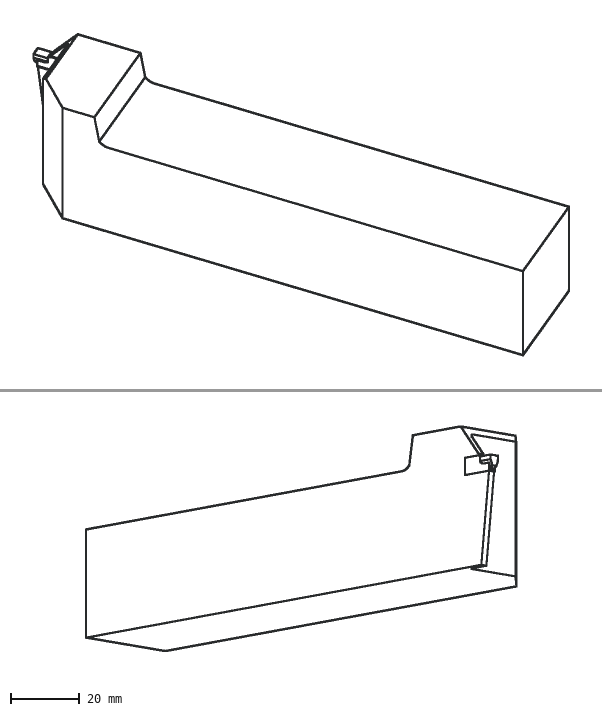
import cadquery as cq
import math

length = 170.0
shank_size = 32.0
head_height = 42.0

nose_face_x = 11.0
corner_chamfer = 11.7
slope_top_x = 13.0
back_top_x = 33.0
back_angle = 10.0
cove_top_x = 34.5
cove_end_x = 37.5
root_fillet = 1.0

blade_thickness = 2.0
blade_top_x = 1.0
blade_bottom_x = 4.2

seat_z = 27.4
clamp_z = 32.5
clamp_front_x = 5.5
clamp_lip = 0.5
insert_thickness = 2.4
edge_width = 3.0
edge_overhang = 0.3
edge_length = 4.5
edge_back_depth = 1.7
edge_front_depth = 3.0
edge_straight_depth = 1.4
edge_keel_width = 0.8

cove_top_z = head_height - (cove_top_x - back_top_x) / math.tan(math.radians(back_angle))
cove_run = cove_end_x - cove_top_x
cove_rise = cove_top_z - shank_size
cove_radius = (cove_run**2 + cove_rise**2) / (2 * cove_rise)
cove_half_angle = math.asin(cove_run / cove_radius) / 2
cove_middle = (
    cove_end_x - cove_radius * math.sin(cove_half_angle),
    shank_size + cove_radius * (1 - math.cos(cove_half_angle)),
)


def extrude_along_y(points, y_start, width):
    """Extrude an XZ outline toward +Y from y_start."""
    return cq.Workplane("XZ", origin=(0, y_start, 0)).polyline(points).close().extrude(-width)


def make_cutting_edge():
    """Wide tip of the insert, with sides that taper in toward the bottom."""
    keel_z = shank_size - edge_front_depth - blade_top_x
    side_profile = extrude_along_y(
        [
            (0, shank_size),
            (0, shank_size - edge_front_depth),
            (blade_top_x, keel_z),
            (edge_length, shank_size - edge_back_depth),
            (edge_length, shank_size),
        ],
        shank_size + edge_overhang - edge_width,
        edge_width,
    )
    straight_end_z = shank_size - edge_straight_depth
    front_profile = (
        cq.Workplane("YZ", origin=(0, shank_size + edge_overhang - edge_width / 2, 0))
        .moveTo(-edge_width / 2, shank_size)
        .lineTo(-edge_width / 2, straight_end_z)
        .lineTo(-edge_keel_width / 2, keel_z)
        .lineTo(edge_keel_width / 2, keel_z)
        .lineTo(edge_width / 2, straight_end_z)
        .lineTo(edge_width / 2, shank_size)
        .close()
        .extrude(edge_length)
    )
    return side_profile.intersect(front_profile)


def make_insert():
    """Flat insert body with the cutting edge at its tip."""
    body = extrude_along_y(
        [
            (blade_top_x, seat_z),
            (nose_face_x, seat_z),
            (nose_face_x, clamp_z),
            (clamp_front_x, clamp_z),
            (edge_length, shank_size),
            (blade_top_x, shank_size),
        ],
        shank_size - insert_thickness,
        insert_thickness,
    )
    return body.union(make_cutting_edge())


def make_holder(insert):
    """Square shank with a raised head and a thin blade, cut out for the insert."""
    side_profile = (
        cq.Workplane("XZ")
        .moveTo(blade_bottom_x, 0)
        .lineTo(length, 0)
        .lineTo(length, shank_size)
        .lineTo(cove_end_x, shank_size)
        .threePointArc(cove_middle, (cove_top_x, cove_top_z))
        .lineTo(back_top_x, head_height)
        .lineTo(slope_top_x, head_height)
        .lineTo(clamp_front_x, clamp_z + clamp_lip)
        .lineTo(clamp_front_x, seat_z)
        .lineTo(blade_top_x, seat_z)
        .close()
        .extrude(-shank_size)
    )

    blade_y = shank_size - blade_thickness
    arc_offset = root_fillet * (1 - math.sqrt(0.5))
    plan = (
        cq.Workplane("XY")
        .moveTo(0, shank_size)
        .lineTo(0, blade_y)
        .lineTo(nose_face_x - root_fillet, blade_y)
        .threePointArc(
            (nose_face_x - arc_offset, blade_y - arc_offset),
            (nose_face_x, blade_y - root_fillet),
        )
        .lineTo(nose_face_x, corner_chamfer)
        .lineTo(nose_face_x + corner_chamfer, 0)
        .lineTo(length, 0)
        .lineTo(length, shank_size)
        .close()
        .extrude(head_height)
    )
    return side_profile.intersect(plan).cut(insert)


insert = make_insert()
holder = make_holder(insert)

result = cq.Compound.makeCompound([holder.val(), insert.val()])